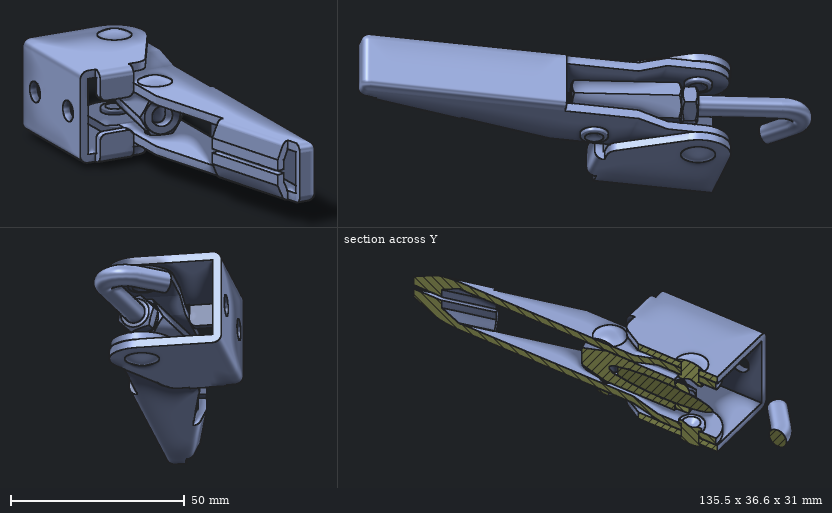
import cadquery as cq
import math


bracket_sheet = 2.6
bracket_width = 28.0
bracket_base_y = -25.0
bracket_lobe_radius = 9.5
bracket_length = 35.1
bracket_slope = math.radians(30)
bracket_corner_radius = 4.0
bracket_half = bracket_width / 2
bracket_inner_half = bracket_half - bracket_sheet
bracket_end_x = bracket_length - bracket_lobe_radius

ear_lift = 5.0
ear_bottom_y = bracket_base_y + ear_lift
ear_height = 11.0
ear_relief = 0.34
ear_tip_z = 5.0
ear_tip_radius = 2.0

mount_hole_diameter = 6.2
mount_hole_first_x = -1.9
mount_hole_pitch = 20.0

handle_sheet = 2.5
handle_wall_thickness = 2.7
handle_half_height = 9.1
handle_half = bracket_inner_half - handle_sheet
handle_inner_half = handle_half - handle_wall_thickness
tab_fold_z = handle_half - handle_sheet
handle_end_x = 102.0
handle_back_start_x = 41.5
handle_top_y = handle_half_height + handle_sheet
spread_start_x = 19.6
spread_end_x = 11.1
spread_bend_radius = 4.2
taper_start_x = 42.0
end_flange_bottom_y = 5.7
end_flange_x = handle_end_x - handle_sheet
taper_angle = math.atan2(end_flange_bottom_y + handle_half_height, end_flange_x - taper_start_x)

tab_start = 28.3
tab_length = 27.8
tab_fold_angle = math.radians(64)
tab_knee_z = 3.9
tab_tip_z = 0.61

shank_radius = 3.0
head_radius = 5.0
head_height = 1.5
tail_radius = 4.0
tail_height = 1.4
tail_rounding = 0.5
tail_recess_radius = 2.7

pin_x = 30.0
pin_y = -3.0
rod_z = 0.5
rod_tilt = 10
rod_radius = 3.1
hook_bend_radius = 6.1
hook_left_x = -33.5
hook_end_angle = 50
hook_tip_length = 10.0
sleeve_across_corners = 13.3
sleeve_end_radius = 5.4
nut_across_corners = 11.5
nut_end_radius = 4.3
nut_turn = 15
sleeve_back = 6.8
sleeve_front = -25.0
rod_end = -5.4
nut_thickness = 4.9
hex_chamfer_angle = math.radians(30)


def both_sides(shape):
    """The shape and its mirror image across the middle plane, as one Workplane."""
    return shape.union(shape.mirror("XY"))


def make_bracket():
    tangent_x = bracket_lobe_radius * math.sin(bracket_slope)
    tangent_y = bracket_lobe_radius * math.cos(bracket_slope)
    shoulder_y = tangent_y - (bracket_end_x - tangent_x) * math.tan(bracket_slope)
    outline = (
        cq.Workplane("XY", origin=(0, 0, -bracket_half))
        .moveTo(-bracket_lobe_radius, bracket_base_y)
        .lineTo(-bracket_lobe_radius, 0)
        .threePointArc(
            (-bracket_lobe_radius / math.sqrt(2), bracket_lobe_radius / math.sqrt(2)),
            (tangent_x, tangent_y),
        )
        .lineTo(bracket_end_x, shoulder_y)
        .lineTo(bracket_end_x, bracket_base_y)
        .close()
        .extrude(bracket_width)
    )
    shoulder = cq.selectors.NearestToPointSelector((bracket_end_x, shoulder_y, 0))
    body = outline.edges(shoulder).fillet(bracket_corner_radius)
    body = body.faces("<Y").edges("|X").fillet(bracket_sheet)
    channel = (
        cq.Workplane("XY", origin=(0, 0, -bracket_inner_half))
        .moveTo(-bracket_lobe_radius, bracket_base_y + bracket_sheet)
        .lineTo(bracket_end_x, bracket_base_y + bracket_sheet)
        .lineTo(bracket_end_x, bracket_lobe_radius)
        .lineTo(-bracket_lobe_radius, bracket_lobe_radius)
        .close()
        .extrude(2 * bracket_inner_half)
    )
    body = body.cut(channel).union(both_sides(make_ear()))
    mount_holes = (
        cq.Workplane("XZ", origin=(mount_hole_first_x, bracket_base_y + bracket_sheet, 0))
        .pushPoints([(0, 0), (mount_hole_pitch, 0)])
        .circle(mount_hole_diameter / 2)
        .extrude(bracket_sheet)
    )
    return body.cut(mount_holes).cut(cylinder(0, 0, shank_radius, -bracket_half, bracket_half))


def make_ear():
    bend_x = bracket_end_x + ear_relief
    ear = (
        cq.Workplane("XZ", origin=(0, ear_bottom_y, 0))
        .moveTo(bracket_end_x, bracket_half)
        .lineTo(bend_x, bracket_half)
        .radiusArc((bend_x + bracket_sheet, bracket_inner_half), bracket_sheet)
        .lineTo(bend_x + bracket_sheet, ear_tip_z)
        .lineTo(bend_x, ear_tip_z)
        .lineTo(bend_x, bracket_inner_half)
        .lineTo(bracket_end_x, bracket_inner_half)
        .close()
        .extrude(-ear_height)
    )
    return ear.faces("<Z").edges("|X").fillet(ear_tip_radius)


def cylinder(x, y, radius, z_from, z_to):
    return cq.Workplane("XY", origin=(x, y, z_from)).circle(radius).extrude(z_to - z_from)


def make_handle():
    body = both_sides(make_handle_wall()).union(make_handle_back())
    body = body.union(both_sides(make_grip_tab()))
    pivot_hole = cylinder(0, 0, shank_radius, -bracket_half, bracket_half)
    pin_hole = cylinder(pin_x, pin_y, shank_radius, -bracket_half, bracket_half)
    return body.cut(pivot_hole).cut(pin_hole)


def make_handle_wall():
    side = (
        cq.Workplane("XY")
        .moveTo(0, handle_half_height)
        .threePointArc((-handle_half_height, 0), (0, -handle_half_height))
        .lineTo(taper_start_x, -handle_half_height)
        .lineTo(end_flange_x, end_flange_bottom_y)
        .lineTo(end_flange_x, handle_half_height)
        .close()
        .extrude(bracket_half)
    )
    plan = (
        cq.Workplane("XZ", origin=(0, handle_half_height, 0))
        .moveTo(-handle_half_height, handle_half)
        .lineTo(spread_end_x, handle_half)
        .lineTo(spread_start_x, handle_inner_half)
        .lineTo(end_flange_x, handle_inner_half)
        .lineTo(end_flange_x, handle_half)
        .lineTo(spread_start_x, handle_half)
        .lineTo(spread_end_x, bracket_inner_half)
        .lineTo(-handle_half_height, bracket_inner_half)
        .close()
        .extrude(2 * handle_half_height)
    )
    outer_bend = cq.selectors.NearestToPointSelector((spread_end_x, 0, bracket_inner_half))
    return side.intersect(plan.edges(outer_bend).fillet(spread_bend_radius))


def make_handle_back():
    length = handle_end_x - handle_back_start_x
    shell = (
        cq.Workplane("XY")
        .box(length, handle_top_y - end_flange_bottom_y, 2 * handle_half, centered=False)
        .translate((handle_back_start_x, end_flange_bottom_y, -handle_half))
    )
    shell = shell.edges("(>Y and |X) or (>X and |Y) or (>X and >Y)").fillet(handle_sheet)
    cavity = (
        cq.Workplane("XY")
        .box(
            length - handle_sheet,
            handle_half_height - end_flange_bottom_y,
            2 * handle_inner_half,
            centered=False,
        )
        .translate((handle_back_start_x, end_flange_bottom_y, -handle_inner_half))
    )
    return shell.cut(cavity)


def make_grip_tab():
    along_x = math.cos(taper_angle)
    along_y = math.sin(taper_angle)
    start = (taper_start_x + tab_start * along_x, tab_start * along_y - handle_half_height, 0)
    fold_z = tab_fold_z + handle_sheet * math.cos(tab_fold_angle)
    fold_depth = handle_sheet * math.sin(tab_fold_angle)
    run = 1 / math.tan(tab_fold_angle)
    knee_depth = fold_depth + (fold_z - tab_knee_z) * run
    inner_depth = knee_depth - handle_sheet
    inner_knee_z = tab_fold_z - inner_depth / run
    return (
        cq.Workplane(cq.Plane(origin=start, xDir=(0, 0, 1), normal=(along_x, along_y, 0)))
        .moveTo(tab_fold_z, 0)
        .lineTo(handle_half, 0)
        .radiusArc((fold_z, fold_depth), -handle_sheet)
        .lineTo(tab_knee_z, knee_depth)
        .lineTo(tab_tip_z, knee_depth)
        .lineTo(tab_tip_z, inner_depth)
        .lineTo(inner_knee_z, inner_depth)
        .close()
        .extrude(tab_length)
    )


def make_rivet(seat_z, tail_z):
    """A rivet on the Z axis: domed head above seat_z, hollow tail below tail_z."""
    half_profile = (
        cq.Workplane("XZ")
        .moveTo(0, seat_z + head_height)
        .radiusArc((head_radius, seat_z), (head_radius**2 + head_height**2) / (2 * head_height))
        .lineTo(shank_radius, seat_z)
        .lineTo(shank_radius, tail_z)
        .lineTo(tail_radius, tail_z)
        .lineTo(tail_radius, tail_z - tail_height + tail_rounding)
        .radiusArc((tail_radius - tail_rounding, tail_z - tail_height), tail_rounding)
        .lineTo(tail_recess_radius, tail_z - tail_height)
        .lineTo(0, tail_z)
        .close()
    )
    return half_profile.revolve(360, (0, 0, 0), (0, 1, 0))


def along_rod(shape):
    """Moves a shape built along the X axis onto the tilted rod axis."""
    return shape.rotate((0, 0, 0), (0, 0, 1), -rod_tilt).translate((pin_x, pin_y, rod_z))


def hex_bar(start, end, across_corners, end_radius):
    """A hexagonal bar along X with its corners chamfered at both ends."""
    length = end - start
    corner_radius = across_corners / 2
    chamfer = (corner_radius - end_radius) * math.tan(hex_chamfer_angle)
    bar = cq.Workplane("YZ", origin=(start, 0, 0)).polygon(6, across_corners).extrude(length)
    envelope = (
        cq.Workplane("XY")
        .moveTo(start, 0)
        .lineTo(start, end_radius)
        .lineTo(start + chamfer, corner_radius)
        .lineTo(end - chamfer, corner_radius)
        .lineTo(end, end_radius)
        .lineTo(end, 0)
        .close()
        .revolve(360, (0, 0, 0), (1, 0, 0))
    )
    return bar.intersect(envelope)


def rod_bore(start, end):
    return cq.Workplane("YZ", origin=(start, 0, 0)).circle(rod_radius).extrude(end - start)


def make_sleeve():
    bar = hex_bar(sleeve_front, sleeve_back, sleeve_across_corners, sleeve_end_radius)
    bored = along_rod(bar.cut(rod_bore(sleeve_front, sleeve_back)))
    return bored.cut(cylinder(pin_x, pin_y, shank_radius, -bracket_half, bracket_half))


def make_nut():
    nut_front = sleeve_front - nut_thickness
    bar = hex_bar(nut_front, sleeve_front, nut_across_corners, nut_end_radius)
    bar = bar.rotate((0, 0, 0), (1, 0, 0), -nut_turn)
    return along_rod(bar.cut(rod_bore(nut_front, sleeve_front)))


def make_hook_rod():
    tilt = math.radians(rod_tilt)
    end_angle = math.radians(hook_end_angle)
    center_x = hook_left_x + rod_radius + hook_bend_radius
    bend_start_x = center_x + hook_bend_radius * math.sin(tilt)
    bend_start_y = pin_y + (pin_x - bend_start_x) * math.tan(tilt)
    center_y = bend_start_y - hook_bend_radius * math.cos(tilt)
    bend_end_x = center_x - hook_bend_radius * math.sin(end_angle)
    bend_end_y = center_y - hook_bend_radius * math.cos(end_angle)
    rod_end_point = (pin_x + rod_end * math.cos(tilt), pin_y - rod_end * math.sin(tilt))
    path = (
        cq.Workplane("XY", origin=(0, 0, rod_z))
        .moveTo(*rod_end_point)
        .lineTo(bend_start_x, bend_start_y)
        .threePointArc((center_x - hook_bend_radius, center_y), (bend_end_x, bend_end_y))
        .lineTo(
            bend_end_x + hook_tip_length * math.cos(end_angle),
            bend_end_y - hook_tip_length * math.sin(end_angle),
        )
    )
    section_plane = cq.Plane(
        origin=(*rod_end_point, rod_z), xDir=(0, 0, 1), normal=(-math.cos(tilt), math.sin(tilt), 0)
    )
    return cq.Workplane(section_plane).circle(rod_radius).sweep(path)


bracket = make_bracket()
handle = make_handle()
hook_rod = make_hook_rod()
nut = make_nut()
sleeve = make_sleeve()
sleeve_pin = make_rivet(handle_half, -handle_half).translate((pin_x, pin_y, 0))
pivot_rivets = []
for turn in (0, 180):
    rivet = make_rivet(bracket_half, handle_half).rotate((0, 0, 0), (1, 0, 0), turn)
    pivot_rivets.append(rivet.val())

result = cq.Compound.makeCompound([
    bracket.val(),
    handle.val(),
    hook_rod.val(),
    nut.val(),
    sleeve.val(),
    sleeve_pin.val(),
    *pivot_rivets,
])